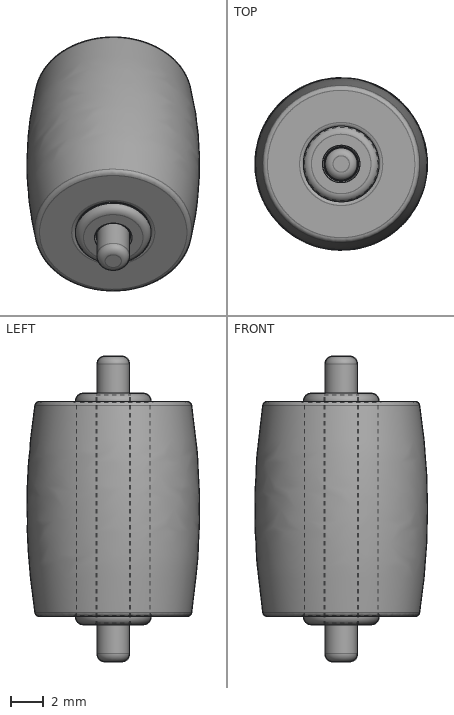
import cadquery as cq


pin_diameter = 2.0
pin_length = 18.75
pin_end_fillet = 0.5

sleeve_bore = 2.1
sleeve_bore_chamfer = 0.1
sleeve_diameter = 4.5
lip_diameter = 4.65
lip_fillet = 0.5

roller_length = 13.2
roller_end_diameter = 9.55
roller_middle_diameter = 10.6
roller_edge_fillet = 0.3
roller_bore = sleeve_diameter
roller_bore_fillet = 0.3

sleeve_length = roller_length + 2 * lip_fillet


def make_pin():
    rod = cq.Workplane("XY").circle(pin_diameter / 2).extrude(pin_length / 2, both=True)
    return rod.faces("|Z").edges().fillet(pin_end_fillet)


def make_sleeve():
    neck_radius = sleeve_diameter / 2
    lip_radius = lip_diameter / 2
    lip_top = sleeve_length / 2
    lip_base = lip_top - lip_fillet
    lip_taper = lip_radius - neck_radius
    neck_end = lip_base - lip_taper
    arc_offset = lip_fillet * (1 - 0.5 ** 0.5)
    profile = (
        cq.Workplane("XZ")
        .moveTo(0, -lip_top)
        .lineTo(lip_radius - lip_fillet, -lip_top)
        .threePointArc((lip_radius - arc_offset, -lip_top + arc_offset), (lip_radius, -lip_base))
        .lineTo(neck_radius, -neck_end)
        .lineTo(neck_radius, neck_end)
        .lineTo(lip_radius, lip_base)
        .threePointArc((lip_radius - arc_offset, lip_top - arc_offset), (lip_radius - lip_fillet, lip_top))
        .lineTo(0, lip_top)
        .close()
    )
    spool = profile.revolve(360, (0, 0, 0), (0, 1, 0))
    bored = spool.faces(">Z").workplane().hole(sleeve_bore)
    bore_edge = cq.selectors.RadiusNthSelector(0)
    return bored.faces("|Z").edges(bore_edge).chamfer(sleeve_bore_chamfer)


def make_roller():
    half_length = roller_length / 2
    end_radius = roller_end_diameter / 2
    profile = (
        cq.Workplane("XZ")
        .moveTo(roller_bore / 2, -half_length)
        .lineTo(end_radius, -half_length)
        .threePointArc((roller_middle_diameter / 2, 0), (end_radius, half_length))
        .lineTo(roller_bore / 2, half_length)
        .close()
    )
    barrel = profile.revolve(360, (0, 0, 0), (0, 1, 0))
    inner_edge = cq.selectors.RadiusNthSelector(0)
    outer_edge = cq.selectors.RadiusNthSelector(-1)
    barrel = barrel.faces("|Z").edges(outer_edge).fillet(roller_edge_fillet)
    return barrel.faces("|Z").edges(inner_edge).fillet(roller_bore_fillet)


pin = make_pin()
sleeve = make_sleeve()
roller = make_roller()

result = cq.Compound.makeCompound([pin.val(), sleeve.val(), roller.val()])